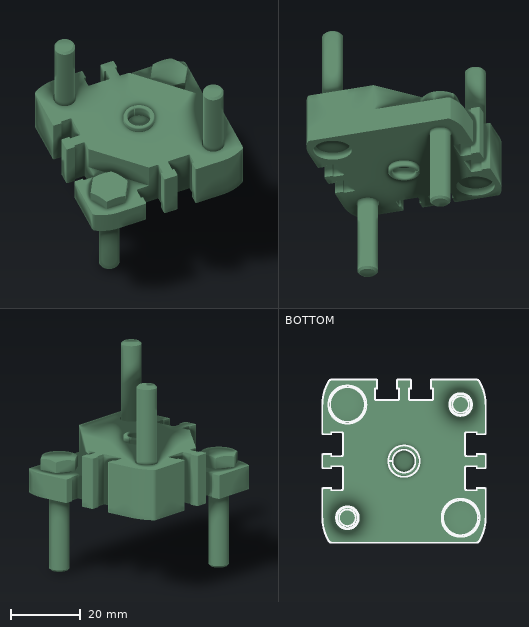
import cadquery as cq
import math

overall_height = 61.0
width = 47.0
half_width = width / 2
housing_height = 15.0
housing_top = housing_height / 2
housing_bottom = -housing_top

bolt_pitch = 32.5
bolt_offset = bolt_pitch / 2

corner_radius = 13.0
corner_start = bolt_offset
corner_blend = 1.1

slot_offset = 4.9
slot_mouth = 5.6
slot_inner = 6.85
slot_depth = 5.9
lip_depth = 2.6
slot_fillet = 0.35

ledge_thickness = 7.0
ledge_z = housing_bottom + ledge_thickness
diagonal_intercept = 21.95
step_bound = 3.35

bolt_diameter = 6.0
bolt_hole_diameter = 6.6
tip_chamfer = 0.6
bolt_length = overall_height / 2 + ledge_z

hex_across_flats = 10.0
hex_across_corners = hex_across_flats / math.cos(math.pi / 6)
hex_head_height = 4.0
hex_crown_diameter = 9.9
hex_crown_angle = math.radians(30)
washer_face_diameter = 8.9
washer_face_height = 0.4

cap_head_diameter = 10.0
cap_head_height = 6.0
counterbore_diameter = 11.0
counterbore_depth = housing_height - ledge_thickness

sleeve_diameter = 9.0
sleeve_bore = 6.6
sleeve_protrusion = 1.75
sleeve_seat_depth = 2.1
sleeve_slit = 0.2
sleeve_wall = (sleeve_diameter - sleeve_bore) / 2

hex_bolt_places = [(-bolt_offset, bolt_offset), (bolt_offset, -bolt_offset)]
cap_screw_places = [(bolt_offset, bolt_offset), (-bolt_offset, -bolt_offset)]


def make_block():
    """Square block whose four vertical corners are large arcs blended into the front and back."""
    arc_centre_x = half_width - corner_radius
    rise = half_width - corner_start
    corner_x = arc_centre_x + math.sqrt(corner_radius ** 2 - rise ** 2)
    mid_angle = math.asin(rise / corner_radius) / 2
    mid_x = arc_centre_x + corner_radius * math.cos(mid_angle)
    mid_y = corner_start + corner_radius * math.sin(mid_angle)
    return (
        cq.Workplane("XY", origin=(0, 0, housing_bottom))
        .moveTo(-corner_x, half_width)
        .lineTo(corner_x, half_width)
        .threePointArc((mid_x, mid_y), (half_width, corner_start))
        .lineTo(half_width, -corner_start)
        .threePointArc((mid_x, -mid_y), (corner_x, -half_width))
        .lineTo(-corner_x, -half_width)
        .threePointArc((-mid_x, -mid_y), (-half_width, -corner_start))
        .lineTo(-half_width, corner_start)
        .threePointArc((-mid_x, mid_y), (-corner_x, half_width))
        .close()
        .extrude(housing_height)
        .edges("|Z and (>Y or <Y)")
        .fillet(corner_blend)
    )


def make_slot(centre_x):
    """T-slot cutter running the full height, open at the front face with rounded mouth edges."""
    mouth_x = slot_mouth / 2
    flare_x = mouth_x + slot_fillet
    arc_inset = slot_fillet * (1 - math.sqrt(0.5))
    mouth = (
        cq.Workplane("XY", origin=(centre_x, -half_width, housing_bottom))
        .moveTo(-flare_x, 0)
        .threePointArc((-mouth_x - arc_inset, arc_inset), (-mouth_x, slot_fillet))
        .lineTo(-mouth_x, lip_depth)
        .lineTo(mouth_x, lip_depth)
        .lineTo(mouth_x, slot_fillet)
        .threePointArc((mouth_x + arc_inset, arc_inset), (flare_x, 0))
        .close()
        .extrude(housing_height)
    )
    cavity_depth = slot_depth - lip_depth
    cavity_centre_y = -half_width + lip_depth + cavity_depth / 2
    cavity = (
        cq.Workplane("XY", origin=(centre_x, cavity_centre_y, housing_bottom))
        .rect(slot_inner, cavity_depth)
        .extrude(housing_height)
        .edges("|Z and >Y")
        .fillet(slot_fillet)
    )
    return mouth.union(cavity)


def make_step(inner_x):
    """Cutter for the front right corner above the ledge, bounded by the diagonal wall,
    the line x = inner_x and the side slot nearest the corner."""
    return (
        cq.Workplane("XY", origin=(0, 0, ledge_z))
        .polyline([
            (inner_x, inner_x - diagonal_intercept),
            (diagonal_intercept - step_bound, -step_bound),
            (width, -step_bound),
            (width, -width),
            (inner_x, -width),
        ])
        .close()
        .extrude(housing_height)
    )


def make_housing():
    body = make_block()

    for face_angle in (0, 90, -90):
        for centre_x in (-slot_offset, slot_offset):
            slot = make_slot(centre_x)
            body = body.cut(slot.rotate((0, 0, 0), (0, 0, 1), face_angle))

    body = body.cut(make_step(step_bound))
    body = body.cut(make_step(-step_bound).rotate((0, 0, 0), (0, 0, 1), 180))

    body = body.cut(
        cq.Workplane("XY", origin=(0, 0, housing_bottom))
        .pushPoints(hex_bolt_places + cap_screw_places)
        .circle(bolt_hole_diameter / 2)
        .extrude(housing_height)
    )
    body = body.cut(
        cq.Workplane("XY", origin=(0, 0, housing_bottom))
        .pushPoints(cap_screw_places)
        .circle(counterbore_diameter / 2)
        .extrude(counterbore_depth)
    )

    for seat_z in (housing_top - sleeve_seat_depth, housing_bottom):
        seat = (
            cq.Workplane("XY", origin=(0, 0, seat_z))
            .circle(sleeve_diameter / 2)
            .extrude(sleeve_seat_depth)
        )
        body = body.cut(seat)
    return body


def make_shank():
    """Plain shank hanging down from z = 0 with a chamfered tip."""
    return (
        cq.Workplane("XY")
        .circle(bolt_diameter / 2)
        .extrude(-bolt_length)
        .faces("<Z")
        .chamfer(tip_chamfer)
    )


def make_hex_bolt():
    """Hex bolt with its seat at z = 0 and its shank pointing down."""
    washer_face = cq.Workplane("XY").circle(washer_face_diameter / 2).extrude(washer_face_height)
    hexagon = (
        cq.Workplane("XY", origin=(0, 0, washer_face_height))
        .polygon(6, hex_across_corners)
        .extrude(hex_head_height - washer_face_height)
        .rotate((0, 0, 0), (0, 0, 1), 30)
    )
    crown_radius = hex_crown_diameter / 2
    cone_radius = crown_radius + hex_head_height / math.tan(hex_crown_angle)
    cone = (
        cq.Workplane("XZ")
        .polyline([(0, 0), (cone_radius, 0), (crown_radius, hex_head_height), (0, hex_head_height)])
        .close()
        .revolve(360, (0, 0), (0, 1))
    )
    return make_shank().union(washer_face).union(hexagon.intersect(cone))


def make_cap_screw():
    """Cylinder head screw with its seat at z = 0 and its shank pointing up."""
    head = cq.Workplane("XY").circle(cap_head_diameter / 2).extrude(cap_head_height)
    return make_shank().union(head).rotate((0, 0, 0), (1, 0, 0), 180)


def make_sleeve():
    """Slit sleeve with fully rounded ends, standing on z = 0."""
    height = sleeve_protrusion + sleeve_seat_depth
    end_radius = sleeve_wall / 2
    inner = sleeve_bore / 2
    outer = sleeve_diameter / 2
    middle = (inner + outer) / 2
    ring = (
        cq.Workplane("XZ")
        .moveTo(-inner, end_radius)
        .threePointArc((-middle, 0), (-outer, end_radius))
        .lineTo(-outer, height - end_radius)
        .threePointArc((-middle, height), (-inner, height - end_radius))
        .close()
        .revolve(360, (0, 0), (0, 1))
    )
    slit = cq.Workplane("XY", origin=(-middle, 0, 0)).rect(2 * sleeve_wall, sleeve_slit).extrude(height)
    return ring.cut(slit)


housing = make_housing()

hex_bolts = [make_hex_bolt().translate((x, y, ledge_z)) for x, y in hex_bolt_places]

cap_seat_z = housing_bottom + counterbore_depth
cap_screws = [make_cap_screw().translate((x, y, cap_seat_z)) for x, y in cap_screw_places]

sleeve_bottoms = [housing_top - sleeve_seat_depth, housing_bottom - sleeve_protrusion]
sleeves = [make_sleeve().translate((0, 0, z)) for z in sleeve_bottoms]

bodies = [housing] + hex_bolts + cap_screws + sleeves
result = cq.Compound.makeCompound([body.val() for body in bodies])